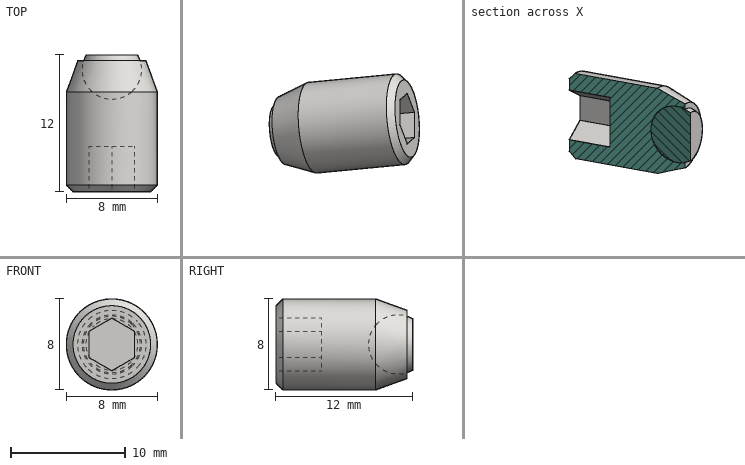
import cadquery as cq
import math

length = 12.0
body_diameter = 8.0
body_radius = body_diameter / 2
chamfer = 0.6

ball_protrusion = 0.5
nose_end = length - ball_protrusion
nose_radius = 3.0
nose_angle = 20.0
nose_start = nose_end - (body_radius - nose_radius) / math.tan(math.radians(nose_angle))

hex_across_flats = 4.0
hex_across_corners = hex_across_flats / math.cos(math.radians(30))
hex_depth = 4.0

ball_radius = 2.6
ball_center_depth = 0.78
ball_center = nose_end - ball_center_depth
flat_height = length - ball_center
flat_radius = math.sqrt(ball_radius**2 - flat_height**2)


def make_ball():
    """Sphere with one flat, revolved about the Y axis."""
    return (
        cq.Workplane("XY")
        .moveTo(0, ball_center - ball_radius)
        .threePointArc((ball_radius, ball_center), (flat_radius, length))
        .lineTo(0, length)
        .close()
        .revolve(360, (0, 0, 0), (0, 1, 0))
    )


def make_hex_socket():
    """Hexagonal prism reaching in from the rear face."""
    return (
        cq.Workplane("XZ")
        .polygon(6, hex_across_corners)
        .extrude(-hex_depth)
        .rotate((0, 0, 0), (0, 1, 0), 30)
    )


def make_screw():
    """Chamfered cylinder with a tapered nose, a hex socket and a ball seat."""
    blank = (
        cq.Workplane("XY")
        .polyline([
            (0, 0),
            (body_radius - chamfer, 0),
            (body_radius, chamfer),
            (body_radius, nose_start),
            (nose_radius, nose_end),
            (0, nose_end),
        ])
        .close()
        .revolve(360, (0, 0, 0), (0, 1, 0))
    )
    return blank.cut(make_hex_socket()).cut(make_ball())


screw = make_screw().solids()
ball = make_ball()

result = cq.Compound.makeCompound([screw.val(), ball.val()])